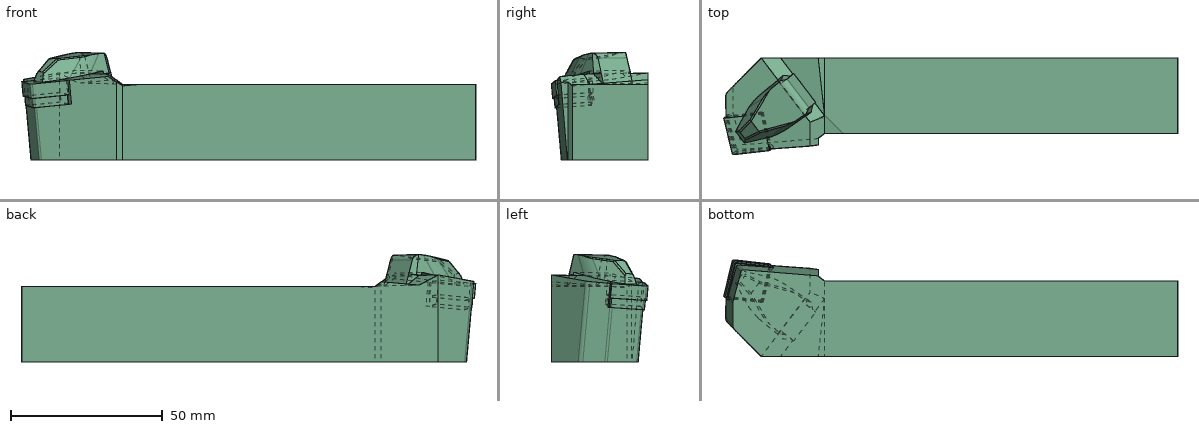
import cadquery as cq
import math

total_length = 149.8
shank_size = 25.0
head_length = 33.3
tilt = 0.09
far = 89.9

insert_corner = (2.8, -7.0)
insert_edge = 12.5
insert_thickness = 4.8
insert_heading = 6.5
insert_angle = 96.5
insert_nose_radius = 0.7

shim_thickness = 3.1
shim_inset = 0.5
relief_width = 0.9
relief_depth = 1.8

head_left = 0.7
side_bend = 4.6
head_nose = (3.6, -6.0)
front_end = (30.1, -4.0)
back_start = 12.6
side_round_radius = 4.3 / 2
bend_round_radius = 6.5 / 2
nose_round_radius = 0.7
overhang_x = 31.3
overhang = 1.5

step_depth = 3.9
step_start = -25.2
step_end = -29.8
ramp_slope = 0.72
ramp_break = 5.2

clamp_heading = 217.0
clamp_axis = 4.2
clamp_height = 6.9
clamp_foot_half = 6.0
clamp_back_round = 2.5
clamp_edge_break = 0.5
clamp_gap = 1.0
gap_end = -6.0
back_wall_lean = 0.2
back_wall = -29.4
nose_bevel_top = (-10.6, clamp_height)
nose_bevel_low = (-4.6, 3.0)
clamp_bend_bulge = 0.3

base_corner = (-27.4, 7.6)
base_bend_start = (-19.2, 7.3)
base_bend_end = (-11.7, 6.1)
base_nose = (-3.6, 2.4)
top_corner = (-26.7, 6.9)
top_bend_start = (-24.5, 6.7)
top_bend_end = (-18.4, 5.7)
top_nose = (-6.6, 0.9)

top_height = shank_size - tilt * (insert_corner[0] + insert_corner[1])
head_top = cq.Plane(origin=(0, 0, top_height), xDir=(1, 0, tilt), normal=(-tilt, -tilt, 1))

clamp_base = head_top.rotated((0, 0, clamp_heading))

clamp_section = cq.Plane(
    origin=clamp_base.origin, xDir=clamp_base.xDir, normal=clamp_base.xDir.cross(clamp_base.zDir)
)


def polar(start, length, heading):
    """Plan point at a distance and heading (degrees) from start."""
    angle = math.radians(heading)
    return (start[0] + length * math.cos(angle), start[1] + length * math.sin(angle))


def rhombus(inset):
    """Insert outline shrunk by inset on every side, cutting corner first."""
    left_heading = insert_heading + insert_angle
    slide = inset / math.sin(math.radians(insert_angle))
    edge = insert_edge - 2 * slide
    corner = polar(polar(insert_corner, slide, insert_heading), slide, left_heading)
    front_right = polar(corner, edge, insert_heading)
    left_back = polar(corner, edge, left_heading)
    inner = polar(left_back, edge, insert_heading)
    return [corner, front_right, inner, left_back]


def tilted_prism(outline, depth, thickness):
    """Prism square to the head top, its upper face at the given depth."""
    return (
        cq.Workplane(head_top).workplane(offset=-depth - thickness)
        .polyline(outline).close().extrude(thickness)
    )


def round_edge(body, point, depth, radius):
    """Fillet the edge of a tilted prism nearest to an outline point."""
    target = head_top.toWorldCoords((*point, -depth)).toTuple()
    return body.edges(cq.selectors.NearestToPointSelector(target)).fillet(radius)


def seat_plate(inset, depth, thickness):
    """Rhombic plate with a rounded cutting corner."""
    outline = rhombus(inset)
    plate = tilted_prism(outline, depth, thickness)
    return round_edge(plate, outline[0], depth + thickness / 2, insert_nose_radius)


def make_shank():
    """Square bar whose front corner is shaved level with the ledge behind the clamp."""
    length = total_length - head_length
    bar = cq.Workplane().box(length, shank_size, shank_size, centered=False).translate((head_length, 0, 0))
    shave = cq.Workplane(head_top).workplane(offset=-step_depth).rect(2 * far, 2 * far).extrude(far)
    return bar.cut(shave)


def make_head():
    """Prism square to the tilted top, trimmed to the base, back and shoulder of the shank."""
    slant_corner = (head_left, shank_size - back_start + head_left)
    front_slope = (front_end[1] - head_nose[1]) / (front_end[0] - head_nose[0])
    outline = [
        (head_left, side_bend),
        head_nose,
        (far, head_nose[1] + front_slope * (far - head_nose[0])),
        (far, far),
        (far - shank_size + back_start, far),
        slant_corner,
    ]
    prism = tilted_prism(outline, 0, far)
    prism = round_edge(prism, slant_corner, far / 2, side_round_radius)
    prism = round_edge(prism, outline[0], far / 2, bend_round_radius)
    prism = round_edge(prism, head_nose, far / 2, nose_round_radius)
    envelope = (
        cq.Workplane()
        .polyline([
            (-far, shank_size),
            (-far, -far),
            (overhang_x, -far),
            (overhang_x, -overhang),
            (head_length, 0),
            (head_length, shank_size),
        ])
        .close().extrude(far)
    )
    return prism.intersect(envelope)


def step_cutter():
    """Space behind the clamp: a sloping step and a ledge parallel to the head top."""
    return (
        cq.Workplane(clamp_section)
        .polyline([
            (step_start, 0),
            (step_start, far),
            (-far, far),
            (-far, -step_depth),
            (step_end, -step_depth),
        ])
        .close().extrude(far, both=True)
    )


def ramp_cutter(side_tilt):
    """Space above a ramp from the head top to the shank top, falling toward -Y by side_tilt."""
    base = cq.Plane(origin=(head_length, ramp_break, shank_size), xDir=(1, 0, 0), normal=(0, -1, -side_tilt))
    return (
        cq.Workplane(base)
        .polyline([(0, 0), (0, far), (-far, far), (-far, far * ramp_slope)])
        .close().extrude(far, both=True)
    )


def seat_cutter():
    """Seat for insert and shim, with a relief at both of its mouths."""
    depth = insert_thickness + shim_thickness
    outline = rhombus(0)
    left_heading = insert_heading + insert_angle
    seat = tilted_prism(outline, 0, depth)
    mouths = [(outline[1], insert_heading, left_heading), (outline[3], left_heading, insert_heading)]
    for mouth, outward, inward in mouths:
        outer_end = polar(mouth, -relief_depth, inward)
        relief = [
            outer_end,
            polar(outer_end, relief_width, outward),
            polar(mouth, relief_width, outward),
            polar(mouth, relief_depth, inward),
        ]
        seat = seat.union(tilted_prism(relief, 0, depth))
    return seat


def clamp_outline(half_points, height):
    """Symmetric clamp outline at a height over the head top, from its points on one side."""
    def both_sides(point):
        return [(point[0], clamp_axis + sign * point[1]) for sign in (1, -1)]

    back, corner, bend_start, bend_end, nose = [both_sides(point) for point in half_points]
    bend_x = (half_points[2][0] + half_points[3][0]) / 2
    bend_half = (half_points[2][1] + half_points[3][1]) / 2 + clamp_bend_bulge
    bend_middle = both_sides((bend_x, bend_half))
    return (
        cq.Workplane(clamp_base).workplane(offset=height)
        .moveTo(*back[0]).lineTo(*corner[0]).lineTo(*bend_start[0])
        .threePointArc(bend_middle[0], bend_end[0])
        .lineTo(*nose[0]).lineTo(*nose[1]).lineTo(*bend_end[1])
        .threePointArc(bend_middle[1], bend_start[1])
        .lineTo(*corner[1]).lineTo(*back[1]).close()
        .wire().val()
    )


def is_shoulder(edge):
    """True for a straight edge between a clamp side and the clamp top or nose bevel."""
    middle = clamp_base.toLocalCoords(edge.Center())
    ends = [clamp_base.toLocalCoords(edge.startPoint()), clamp_base.toLocalCoords(edge.endPoint())]
    is_high = min(end.z for end in ends) > nose_bevel_low[1] / 2
    is_beside = abs(middle.y - clamp_axis) > top_nose[1] / 2
    return is_high and is_beside and middle.x > top_bend_end[0]


def make_clamp():
    """Clamp finger: sides lean in toward the nose, which is bevelled on top."""
    back_top = back_wall + back_wall_lean * clamp_height
    base_back = (back_wall, clamp_foot_half)
    top_back = (back_top, clamp_foot_half)
    base = clamp_outline([base_back, base_corner, base_bend_start, base_bend_end, base_nose], 0)
    top = clamp_outline([top_back, top_corner, top_bend_start, top_bend_end, top_nose], clamp_height)
    finger = cq.Workplane(cq.Solid.makeLoft([base, top], True))
    back_edge = clamp_base.toWorldCoords((back_top, clamp_axis, clamp_height)).toTuple()
    finger = finger.edges(cq.selectors.NearestToPointSelector(back_edge)).fillet(clamp_back_round)
    bevel_slope = (nose_bevel_top[1] - nose_bevel_low[1]) / (nose_bevel_top[0] - nose_bevel_low[0])
    bevel_end = (0, nose_bevel_low[1] - bevel_slope * nose_bevel_low[0])
    bevel = (
        cq.Workplane(clamp_section)
        .polyline([nose_bevel_top, bevel_end, (0, far), (nose_bevel_top[0], far)])
        .close().extrude(far, both=True)
    )
    foot = (
        cq.Workplane(clamp_section).workplane(offset=-clamp_axis - clamp_foot_half)
        .polyline([
            (back_wall, 0),
            (step_start, 0),
            (step_start, -step_depth),
            (back_wall - back_wall_lean * step_depth, -step_depth),
        ])
        .close().extrude(2 * clamp_foot_half)
    )
    gap = (
        cq.Workplane(clamp_section)
        .polyline([(step_start, 0), (step_start, clamp_gap), (gap_end, 0)])
        .close().extrude(far, both=True)
    )
    finger = finger.cut(bevel)
    shoulders = [edge for edge in finger.edges().vals() if is_shoulder(edge)]
    finger = finger.newObject(shoulders).chamfer(clamp_edge_break)
    return finger.cut(gap).union(foot)


holder = (
    make_shank().union(make_head())
    .cut(step_cutter()).cut(ramp_cutter(0)).cut(ramp_cutter(tilt)).cut(seat_cutter())
    .union(seat_plate(shim_inset, insert_thickness, shim_thickness))
    .union(make_clamp())
)
insert = seat_plate(0, 0, insert_thickness)

result = cq.Compound.makeCompound([holder.val(), insert.val()])